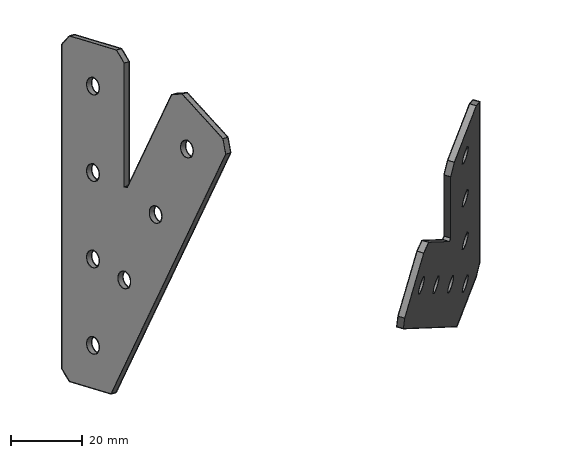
import cadquery as cq
import math

length = 101.6
thickness = 2.0
arm_width = 25.4
arm_angle = 30.0
corner_cut = 3.1
hole_diameter = 5.1
hole_pitch = 25.4
straight_hole_count = 4
angled_hole_count = 3
notch_height = 62.1

half_width = arm_width / 2
angle = math.radians(arm_angle)

pivot_x = half_width
pivot_z = half_width
angled_end = angled_hole_count * hole_pitch + half_width


def on_angled_arm(along, across):
    """Point at a distance along the angled arm and to the right of its centreline."""
    x = pivot_x + along * math.sin(angle) + across * math.cos(angle)
    z = pivot_z + along * math.cos(angle) - across * math.sin(angle)
    return x, z


def angled_edge_at(z, across):
    """Point at height z on the line parallel to the angled arm's centreline."""
    along = (z - pivot_z + across * math.sin(angle)) / math.cos(angle)
    return on_angled_arm(along, across)


outline = [
    (corner_cut, 0),
    angled_edge_at(0, half_width),
    on_angled_arm(angled_end - corner_cut, half_width),
    on_angled_arm(angled_end, half_width - corner_cut),
    on_angled_arm(angled_end, corner_cut - half_width),
    on_angled_arm(angled_end - corner_cut, -half_width),
    angled_edge_at(notch_height, -half_width),
    (arm_width, notch_height),
    (arm_width, length - corner_cut),
    (arm_width - corner_cut, length),
    (corner_cut, length),
    (0, length - corner_cut),
    (0, corner_cut),
]

straight_holes = [(pivot_x, pivot_z + i * hole_pitch) for i in range(straight_hole_count)]
angled_holes = [on_angled_arm(i * hole_pitch, 0) for i in range(1, angled_hole_count + 1)]

plate = cq.Workplane("XZ").polyline(outline).close().extrude(-thickness)
holes = (
    cq.Workplane("XZ")
    .pushPoints(straight_holes + angled_holes)
    .circle(hole_diameter / 2)
    .extrude(-thickness)
)

result = plate.cut(holes)